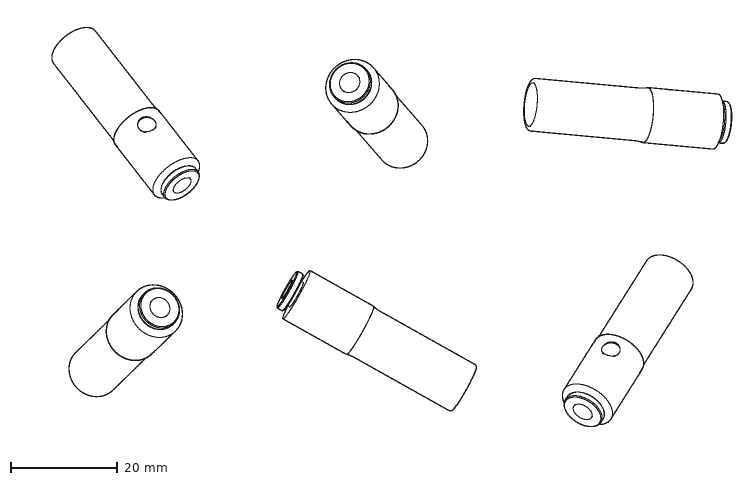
import cadquery as cq

total_length = 38.55
body_diameter = 10.5
sleeve_diameter = 10.02
neck_diameter = 5.3
flange_diameter = 7.98
bore_diameter = 8.25
through_hole_diameter = 3.97

sleeve_length = 21.25
transition_length = 1.4
transition_step = 0.08
body_end = 36.45
flange_width = 1.4
mouth_fillet = 0.5
flange_chamfer = 0.2

recess_diameter = 3.5
recess_depth = 0.35
recess_position = 26.1

body_start = sleeve_length + transition_length
flange_start = total_length - flange_width
body_radius = body_diameter / 2
sleeve_radius = sleeve_diameter / 2

open_end = -total_length / 2


def axial_cylinder(start, end, diameter):
    """Cylinder along X between two distances from the open end."""
    plane = cq.Workplane("YZ", origin=(open_end + start, 0, 0))
    return plane.circle(diameter / 2).extrude(end - start)


def make_transition():
    """Cone widening from the sleeve towards the body."""
    return (
        cq.Workplane("XY", origin=(open_end, 0, 0))
        .moveTo(sleeve_length, 0)
        .lineTo(sleeve_length, sleeve_radius)
        .lineTo(body_start, body_radius - transition_step)
        .lineTo(body_start, 0)
        .close()
        .revolve(360, (0, 0, 0), (1, 0, 0))
    )


def make_flange():
    """Release collar with both rim edges chamfered."""
    flange = axial_cylinder(flange_start, total_length, flange_diameter)
    return flange.edges().chamfer(flange_chamfer)


def make_recess():
    """Shallow round marking recess with a flat floor on the top of the body."""
    floor = body_radius - recess_depth
    plane = cq.Workplane("XY", origin=(open_end + recess_position, 0, floor))
    return plane.circle(recess_diameter / 2).extrude(body_radius)


sleeve = axial_cylinder(0, sleeve_length, sleeve_diameter).faces("<X").edges().fillet(mouth_fillet)
body = axial_cylinder(body_start, body_end, body_diameter)
neck = axial_cylinder(body_end, flange_start, neck_diameter)

outside = sleeve.union(make_transition()).union(body).union(neck).union(make_flange())
bore = axial_cylinder(0, sleeve_length, bore_diameter)
through_hole = axial_cylinder(0, total_length, through_hole_diameter)

result = outside.cut(bore).cut(through_hole).cut(make_recess())